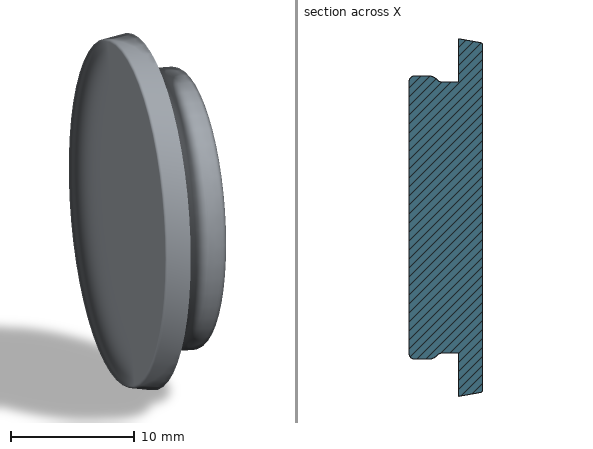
import cadquery as cq
import math

total_depth = 6.0

flange_diameter = 29.15
flange_thickness = 2.0
flange_draft_angle = 10.0
flange_edge_radius = 0.2

neck_diameter = 22.1
rim_diameter = 23.1
rim_end_radius = 0.5
rim_straight_length = 1.07

convex_radius = 1.0
concave_radius = 0.5


def make_flange():
    """Tapered disc with a rounded edge around its outer face."""
    back_radius = flange_diameter / 2
    front_radius = back_radius - flange_thickness * math.tan(math.radians(flange_draft_angle))
    disc = (
        cq.Workplane("XY")
        .lineTo(front_radius, 0)
        .lineTo(back_radius, flange_thickness)
        .lineTo(0, flange_thickness)
        .close()
        .revolve(360, (0, 0), (0, 1))
    )
    return disc.faces("<Y").edges().fillet(flange_edge_radius)


def arc_point(center, radius, angle):
    """Point on a circle in the (radius, Y) plane; the angle is in radians."""
    return center[0] + radius * math.cos(angle), center[1] + radius * math.sin(angle)


def make_body():
    """Neck and snap rim, revolved from one profile."""
    neck_radius = neck_diameter / 2
    rim_radius = rim_diameter / 2

    step = rim_radius - neck_radius
    radii_sum = convex_radius + concave_radius
    turn = math.acos(1 - step / radii_sum)

    rim_end_start = total_depth - rim_end_radius
    rim_start = rim_end_start - rim_straight_length
    neck_end = rim_start - radii_sum * math.sin(turn)

    convex_center = (rim_radius - convex_radius, rim_start)
    concave_center = (neck_radius + concave_radius, neck_end)
    rim_end_center = (rim_radius - rim_end_radius, rim_end_start)

    return (
        cq.Workplane("XY")
        .moveTo(0, flange_thickness)
        .lineTo(neck_radius, flange_thickness)
        .lineTo(neck_radius, neck_end)
        .threePointArc(
            arc_point(concave_center, concave_radius, math.pi - turn / 2),
            arc_point(concave_center, concave_radius, math.pi - turn),
        )
        .threePointArc(
            arc_point(convex_center, convex_radius, -turn / 2),
            (rim_radius, rim_start),
        )
        .lineTo(rim_radius, rim_end_start)
        .threePointArc(
            arc_point(rim_end_center, rim_end_radius, math.pi / 4),
            (rim_end_center[0], total_depth),
        )
        .lineTo(0, total_depth)
        .close()
        .revolve(360, (0, 0), (0, 1))
    )


result = make_flange().union(make_body())